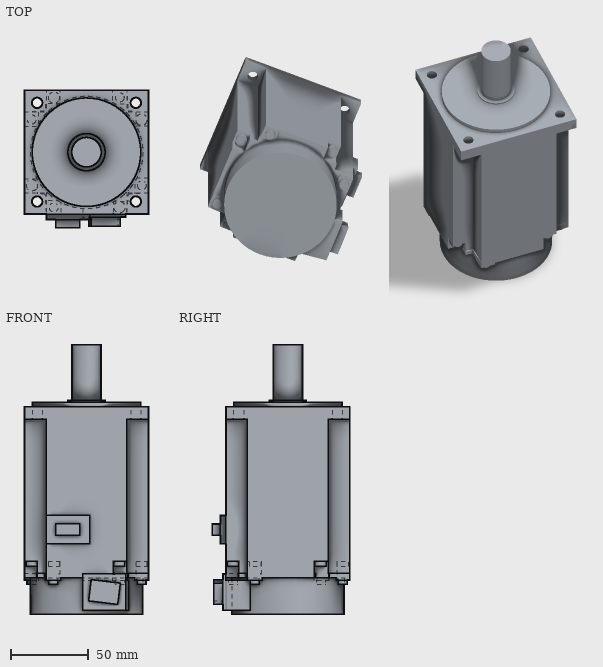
import cadquery as cq
import math

body_side = 80.0
half_side = body_side / 2
total_height = 173.9
shaft_length = 40.0
flange_top = total_height - shaft_length
flange_thickness = 8.0
flange_bottom = flange_top - flange_thickness

shaft_diameter = 19.0
collar_diameter = 24.0
pilot_diameter = 70.0
pilot_height = 3.0
collar_height = 1.0
mount_circle_diameter = 90.0
mount_pitch = mount_circle_diameter / math.sqrt(2)
mount_hole_diameter = 6.6

channel_depth = 14.0
channel_edge = half_side - channel_depth
body_bottom = 23.5
bracket_top = 26.6
bracket_corner_step = 0.8
pad_bottom = 22.0
pad_length = 9.4
pad_depth = 8.9

notch_top = 34.2
notch_length = 8.9
notch_depth = 8.4
notch_bolt_diameter = 7.3
notch_bolt_height = 3.3
notch_bolt_offset = 4.7
notch_bolt_to_channel = 4.9

pad_bolt_diameter = 5.8
pad_bolt_bottom = 19.3
pad_bolt_offset = 4.5

cover_diameter = 72.6

power_plate_left = -25.8
power_plate_width = 27.8
power_plate_height = 18.4
power_plate_thickness = 3.5
power_plug_width = 15.5
power_plug_height = 7.4
power_plug_reach = 8.8
power_plug_x = -12.1
power_z = 54.6

encoder_left = -2.5
encoder_right = 25.4
encoder_bottom = 2.6
encoder_top = 26.1
encoder_root_top = pad_bottom
encoder_face_reach = 1.9
encoder_flare = 2.2
encoder_root_y = -20.0
encoder_plug_width = 18.9
encoder_plug_height = 13.8
encoder_plug_reach = 7.8
encoder_plug_x = 11.6
encoder_plug_z = 14.4
encoder_plug_tilt = 7.0


def box_between(x_range, y_range, z_range):
    """Box given by its lower and upper limits along each axis."""
    lows, highs = zip(x_range, y_range, z_range)
    sizes = [high - low for low, high in zip(lows, highs)]
    return cq.Workplane("XY").box(*sizes, centered=False).translate(lows)


def cylinder_between(diameter, z_low, z_high, x=0.0, y=0.0):
    """Vertical cylinder between two heights."""
    base = cq.Workplane("XY", origin=(x, y, z_low))
    return base.circle(diameter / 2).extrude(z_high - z_low)


def on_each_side(shape):
    """Four copies of a shape made for the -Y side, turned about Z."""
    copies = shape
    for turn in range(1, 4):
        copies = copies.union(shape.rotate((0, 0, 0), (0, 0, 1), 90 * turn))
    return copies


def make_body():
    """Square body with flange; channels and notches are drawn at the +X-Y corner."""
    body = box_between((-half_side, half_side), (-half_side, half_side), (body_bottom, flange_top))
    bracket_corner = channel_edge + bracket_corner_step
    pad = box_between(
        (-bracket_corner, -channel_edge + pad_length),
        (-half_side, -half_side + pad_depth),
        (pad_bottom, bracket_top),
    )
    channel = box_between(
        (channel_edge, half_side), (-half_side, -channel_edge), (bracket_top, flange_bottom)
    )
    bracket_outline = [
        (half_side, -half_side),
        (half_side, -channel_edge),
        (bracket_corner, -bracket_corner),
        (channel_edge, -half_side),
    ]
    bracket_base = cq.Workplane("XY", origin=(0, 0, pad_bottom)).polyline(bracket_outline).close()
    bracket_channel = bracket_base.extrude(bracket_top - pad_bottom)
    notch = box_between(
        (channel_edge - notch_length, bracket_corner),
        (-half_side, -half_side + notch_depth),
        (body_bottom, bracket_top),
    )
    notch = notch.union(
        box_between(
            (channel_edge - notch_length, channel_edge),
            (-half_side, -half_side + notch_depth),
            (bracket_top, notch_top),
        )
    )
    cutters = channel.union(bracket_channel).union(notch)
    return body.union(on_each_side(pad)).cut(on_each_side(cutters))


def make_bolt_heads():
    """Bolt heads hanging from the notch ceilings and under the pads."""
    notch_bolt = cylinder_between(
        notch_bolt_diameter,
        notch_top - notch_bolt_height,
        notch_top,
        channel_edge - notch_bolt_to_channel,
        -half_side + notch_bolt_offset,
    )
    pad_bolt = cylinder_between(
        pad_bolt_diameter,
        pad_bolt_bottom,
        pad_bottom,
        -channel_edge + pad_length / 2,
        -half_side + pad_bolt_offset,
    )
    return on_each_side(notch_bolt.union(pad_bolt))


def make_shaft_end():
    """Pilot disc, shaft collar and shaft above the flange."""
    pilot_top = flange_top + pilot_height
    pilot = cylinder_between(pilot_diameter, flange_top, pilot_top)
    collar = cylinder_between(collar_diameter, pilot_top, pilot_top + collar_height)
    shaft = cylinder_between(shaft_diameter, pilot_top, total_height)
    return pilot.union(collar).union(shaft)


def make_mount_holes():
    """Four cutters through the flange corners."""
    base = cq.Workplane("XY", origin=(0, 0, flange_bottom))
    corners = base.rect(mount_pitch, mount_pitch, forConstruction=True).vertices()
    return corners.circle(mount_hole_diameter / 2).extrude(flange_thickness)


def make_power_connector():
    """Flat plate with a rectangular plug on the -Y wall."""
    plate = box_between(
        (power_plate_left, power_plate_left + power_plate_width),
        (-half_side - power_plate_thickness, -half_side),
        (power_z - power_plate_height / 2, power_z + power_plate_height / 2),
    )
    plug = box_between(
        (power_plug_x - power_plug_width / 2, power_plug_x + power_plug_width / 2),
        (-half_side - power_plug_reach, -half_side),
        (power_z - power_plug_height / 2, power_z + power_plug_height / 2),
    )
    return plate.union(plug)


def make_encoder_connector():
    """Plate carried by a flared root on the cover, with a tilted plug."""
    face_y = -half_side - encoder_face_reach
    plate = box_between((encoder_left, encoder_right), (face_y, -half_side), (encoder_bottom, encoder_top))
    root_outline = [
        (encoder_left, -half_side),
        (encoder_right, -half_side),
        (encoder_right + encoder_flare, encoder_root_y),
        (encoder_left, encoder_root_y),
    ]
    root_base = cq.Workplane("XY", origin=(0, 0, encoder_bottom)).polyline(root_outline).close()
    root = root_base.extrude(encoder_root_top - encoder_bottom)
    plug = (
        cq.Workplane("XZ", origin=(encoder_plug_x, face_y, encoder_plug_z))
        .transformed(rotate=(0, 0, -encoder_plug_tilt))
        .rect(encoder_plug_width, encoder_plug_height)
        .extrude(encoder_plug_reach - encoder_face_reach)
    )
    return plate.union(root).union(plug)


cover = cylinder_between(cover_diameter, 0, bracket_top)

result = (
    make_body()
    .union(make_bolt_heads())
    .union(make_shaft_end())
    .cut(make_mount_holes())
    .union(cover)
    .union(make_power_connector())
    .union(make_encoder_connector())
)